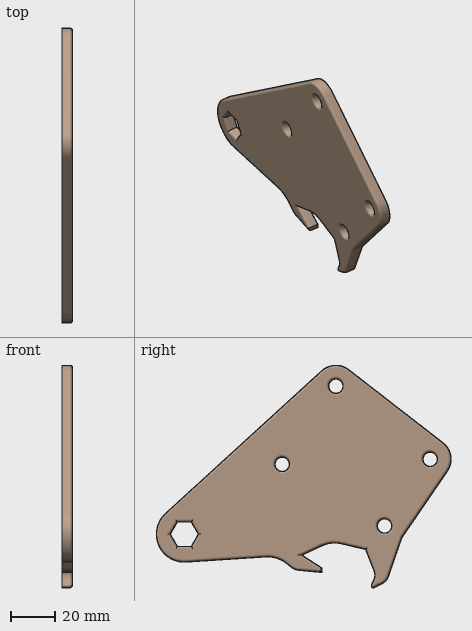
import cadquery as cq
import math

thickness = 4.8
edge_round = 1.2

hole_diameter = 6.4
corner_radius = 9.5
top_hole = (14.5, 40.8)
back_hole = (57.2, 7.7)
middle_hole = (-9.7, 5.5)
lower_hole = (36.5, -22.4)

hex_center = (-54.0, -26.1)
hex_across_corners = 12.7
hex_end_radius = 12.7

outline_arcs = [
    (top_hole, corner_radius),
    (hex_center, hex_end_radius),
    ((-16.1, -49.6), -13.2),
    ((-1.5, -35.9), 6.7),
    ((8.3, -43.5), 0.0),
    ((8.3, -41.5), 0.0),
    ((-0.8, -35.6), 0.0),
    ((14.0, -44.1), -14.0),
    ((28.0, -33.0), 0.0),
    ((26.7, -44.7), -5.5),
    ((31.5, -49.5), 0.9),
    ((32.7, -43.2), 6.0),
    ((49.2, -30.1), -5.3),
    (back_hole, corner_radius),
]


def point_on(arc, angle):
    (y, z), radius = arc
    return (y + radius * math.cos(angle), z + radius * math.sin(angle))


def tangent_angle(first, second):
    """Angle of the outward normal of the line touching both arcs."""
    (y1, z1), r1 = first
    (y2, z2), r2 = second
    heading = math.atan2(z2 - z1, y2 - y1)
    return heading - math.acos((r1 - r2) / math.hypot(y2 - y1, z2 - z1))


def plate_outline(arcs):
    count = len(arcs)
    normals = [tangent_angle(arcs[i], arcs[(i + 1) % count]) for i in range(count)]
    outline = cq.Workplane("YZ").moveTo(*point_on(arcs[-1], normals[-1]))
    for i, arc in enumerate(arcs):
        arrive, leave = normals[i - 1], normals[i]
        outline = outline.lineTo(*point_on(arc, arrive))
        if arc[1] != 0:
            turn = math.remainder(leave - arrive, 2 * math.pi)
            middle = point_on(arc, arrive + turn / 2)
            outline = outline.threePointArc(middle, point_on(arc, leave))
    return outline.close()


def through_cutter(sketch):
    return sketch.extrude(thickness, both=True)


plate = plate_outline(outline_arcs).extrude(thickness).translate((-thickness / 2, 0, 0))

hexagon = cq.Workplane("YZ").center(*hex_center).polygon(6, hex_across_corners)
plate = plate.cut(through_cutter(hexagon))

hole_centers = [top_hole, back_hole, middle_hole, lower_hole]
holes = cq.Workplane("YZ").pushPoints(hole_centers).circle(hole_diameter / 2)
plate = plate.cut(through_cutter(holes))

result = plate.faces(">X").edges().fillet(edge_round)